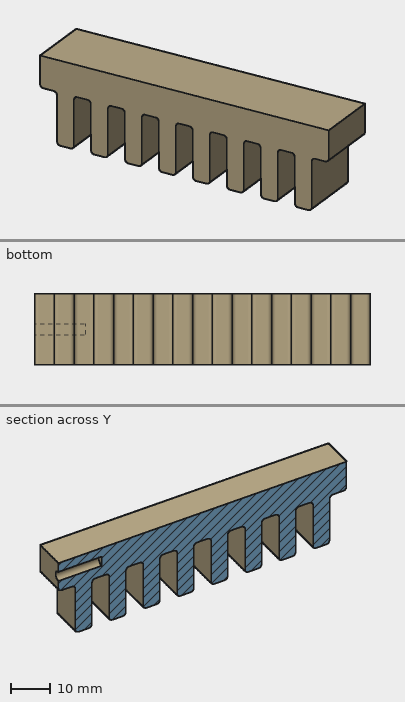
import cadquery as cq

length = 85.0
width = 18.0
height = 24.0
tooth_count = 8
bar_height = 9.0
edge_radius = 1.0
hole_diameter = 2.7
hole_drop = 4.25
hole_depth = 12.75

tooth_width = length / (2 * tooth_count + 1)
tooth_pitch = 2 * tooth_width
tooth_height = height - bar_height


def make_bar():
    """Bar along X, its underside at the tooth roots."""
    return cq.Workplane("XY").box(length, width, bar_height, centered=(True, True, False))


def make_tooth(index):
    """Full-width rectangular tooth hanging below the bar."""
    x = (index - (tooth_count - 1) / 2) * tooth_pitch
    tooth = cq.Workplane("XY").box(tooth_width, width, tooth_height, centered=(True, True, False))
    return tooth.translate((x, 0, -tooth_height))


def make_end_hole():
    """Blind hole along X, starting at the -X end face."""
    start = cq.Workplane("YZ", origin=(-length / 2, 0, bar_height - hole_drop))
    return start.circle(hole_diameter / 2).extrude(hole_depth)


body = make_bar()
for tooth_index in range(tooth_count):
    body = body.union(make_tooth(tooth_index))

body = body.edges("|Y").edges("not >Z").fillet(edge_radius)

result = body.cut(make_end_hole())